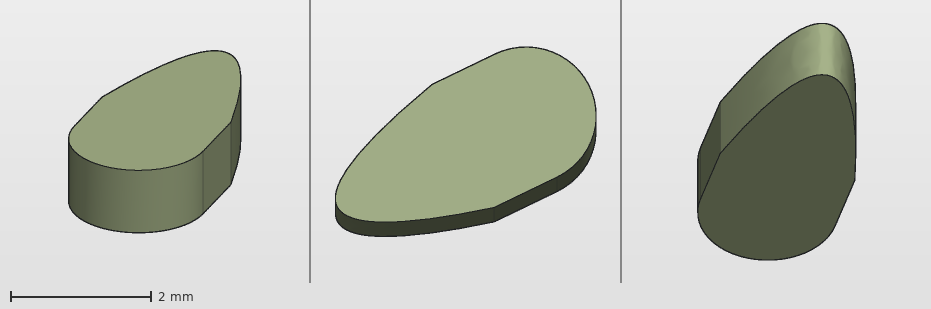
import cadquery as cq

width = 2.0
thickness = 1.0
straight_length = 1.0
nose_length = 2.0

end_radius = width / 2
tip_y = straight_length + nose_length


def teardrop_outline():
    """Closed outline: round end, two straight sides and a parabolic nose."""
    right_shoulder = (end_radius, straight_length)
    tip = (0, tip_y)
    left_shoulder = (-end_radius, straight_length)
    return (
        cq.Workplane("XY")
        .moveTo(-end_radius, 0)
        .threePointArc((0, -end_radius), (end_radius, 0))
        .lineTo(*right_shoulder)
        .spline([tip, left_shoulder], includeCurrent=True)
        .close()
    )


result = teardrop_outline().extrude(thickness)